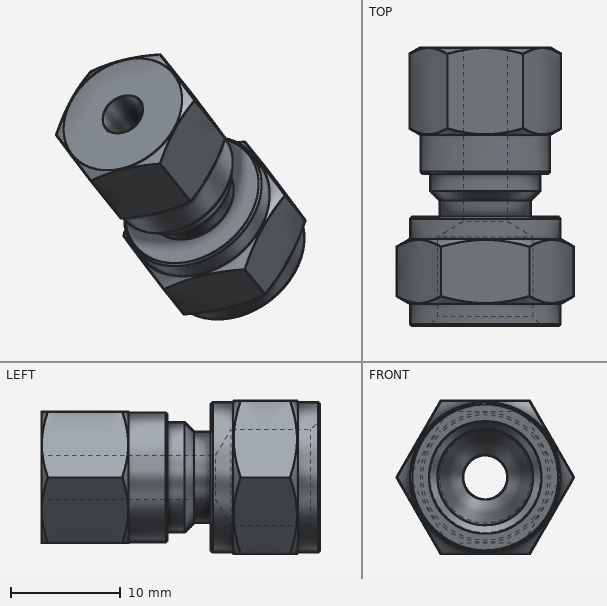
import cadquery as cq
import math

LENGTH = 25.4

NUT_FLATS = 14.0
NUT_COLLAR_RADIUS = 6.85
NUT_HEX_START = 2.03
NUT_HEX_END = 7.95
NUT_END = 9.98

NECK_RADIUS = 4.17
NECK_END = 11.48
SHOULDER_RADIUS = 5.03
SHOULDER_START = NECK_END + SHOULDER_RADIUS - NECK_RADIUS
BODY_START = 13.9
BODY_RADIUS = 5.92
BODY_HEX_START = 17.45
BODY_FLATS = 12.0

EDGE_CHAMFER = 0.2
HEX_CHAMFER_ANGLE = 30.0

MOUTH_RADIUS = 5.13
MOUTH_DEPTH = 0.9
SOCKET_RADIUS = 4.37
SOCKET_DEPTH = 8.13
CONE_HALF_ANGLE = 59.0
HOLE_RADIUS = 2.0


def revolve_profile(points):
    """Revolve (radius, Y) points, closed along the axis, around Y."""
    axis_points = [(0, points[0][1]), *points, (0, points[-1][1])]
    return cq.Workplane("XY").polyline(axis_points).close().revolve(360, (0, 0), (0, 1))


def chamfered_hex(flats, face_radius, start, end):
    """Hexagon with flats facing +/-Z and corners turned down to face_radius at both ends."""
    corner_radius = flats / 2 / math.cos(math.radians(30))
    corner_drop = (corner_radius - face_radius) * math.tan(math.radians(HEX_CHAMFER_ANGLE))
    prism = (
        cq.Workplane("XZ", origin=(0, start, 0))
        .polygon(6, 2 * corner_radius)
        .extrude(start - end)
    )
    envelope = revolve_profile([
        (face_radius, start),
        (corner_radius, start + corner_drop),
        (corner_radius, end - corner_drop),
        (face_radius, end),
    ])
    return prism.intersect(envelope)


core = revolve_profile([
    (NECK_RADIUS, NUT_HEX_END),
    (NECK_RADIUS, NECK_END),
    (SHOULDER_RADIUS, SHOULDER_START),
    (SHOULDER_RADIUS, BODY_HEX_START),
])

nut_collar = revolve_profile([
    (NUT_COLLAR_RADIUS - EDGE_CHAMFER, 0),
    (NUT_COLLAR_RADIUS, EDGE_CHAMFER),
    (NUT_COLLAR_RADIUS, NUT_END - EDGE_CHAMFER),
    (NUT_COLLAR_RADIUS - EDGE_CHAMFER, NUT_END),
])

body_collar = revolve_profile([
    (BODY_RADIUS - EDGE_CHAMFER, BODY_START),
    (BODY_RADIUS, BODY_START + EDGE_CHAMFER),
    (BODY_RADIUS, BODY_HEX_START),
])

nut_hex = chamfered_hex(NUT_FLATS, NUT_COLLAR_RADIUS, NUT_HEX_START, NUT_HEX_END)
body_hex = chamfered_hex(BODY_FLATS, BODY_RADIUS, BODY_HEX_START, LENGTH)

cone_depth = (SOCKET_RADIUS - HOLE_RADIUS) / math.tan(math.radians(CONE_HALF_ANGLE))
bore = revolve_profile([
    (MOUTH_RADIUS, 0),
    (SOCKET_RADIUS, MOUTH_DEPTH),
    (SOCKET_RADIUS, SOCKET_DEPTH),
    (HOLE_RADIUS, SOCKET_DEPTH + cone_depth),
    (HOLE_RADIUS, LENGTH),
])

result = (
    core.union(nut_collar)
    .union(nut_hex)
    .union(body_collar)
    .union(body_hex)
    .cut(bore)
)